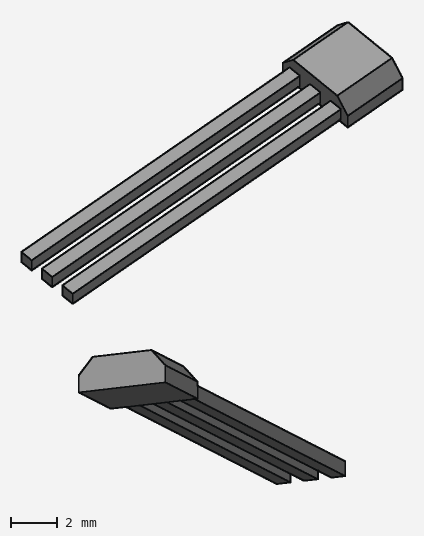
import cadquery as cq

total_length = 18.7
body_width = 4.1
body_height = 1.5
body_length = 3.18

flat_width = 2.77
side_height = 0.75

lead_count = 3
lead_size = 0.65
lead_pitch = 1.29
lead_bottom = 0.17
lead_length = total_length - body_length


def make_housing():
    """Trapezoid-topped block whose front face lies at Y = 0."""
    half_width = body_width / 2
    half_flat = flat_width / 2
    return (
        cq.Workplane("XZ")
        .moveTo(-half_width, 0)
        .lineTo(half_width, 0)
        .lineTo(half_width, side_height)
        .lineTo(half_flat, body_height)
        .lineTo(-half_flat, body_height)
        .lineTo(-half_width, side_height)
        .close()
        .extrude(-body_length)
    )


def make_lead(x):
    """Straight square lead centred at x, running forward from the housing."""
    return (
        cq.Workplane("XY")
        .box(lead_size, lead_length, lead_size, centered=(True, False, False))
        .translate((x, -lead_length, lead_bottom))
    )


housing = make_housing()

leads = []
for index in range(lead_count):
    lead_x = (index - (lead_count - 1) / 2) * lead_pitch
    leads.append(make_lead(lead_x))

result = cq.Compound.makeCompound([housing.val(), *[lead.val() for lead in leads]])